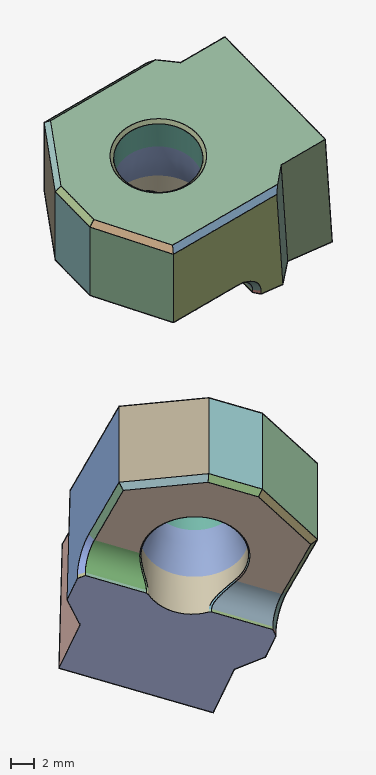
import cadquery as cq
import math

LENGTH = 22.0
WIDTH = 18.0
HEIGHT = 14.0
FRONT_Y = -9.0
BACK_Y = FRONT_Y + LENGTH

FRONT_FLAT = 4.85
FRONT_CORNER_ANGLE = math.radians(30)
NECK_WIDTH = 14.0
SHOULDER_Y = 8.35

BACK_LEAN = math.tan(math.radians(3))
FOOT_SLOPE = math.tan(math.radians(10))
FLOOR_Z = 4.0
FOOT_FRONT_Y = 3.5
FOOT_FILLET = 2.0
EDGE_CHAMFER = 0.5

BORE_RADIUS = 3.75
BORE_CHAMFER = 0.3
RELIEF_RADIUS = 4.5
FLARE_RADIUS = 15.0
FLARE_TOP_Z = 10.7
RELIEF_CHAMFER = 0.1

TOLERANCE = 0.002


def block():
    """Side profile with a leaning back and sloping foot, trimmed to the front corners."""
    foot_front_z = (BACK_Y - FOOT_FRONT_Y) * FOOT_SLOPE
    profile = (
        cq.Workplane("YZ")
        .moveTo(FRONT_Y, HEIGHT)
        .lineTo(FRONT_Y, FLOOR_Z)
        .lineTo(FOOT_FRONT_Y - FOOT_FILLET, FLOOR_Z)
        .radiusArc((FOOT_FRONT_Y, FLOOR_Z - FOOT_FILLET), FOOT_FILLET)
        .lineTo(FOOT_FRONT_Y, foot_front_z)
        .lineTo(BACK_Y, 0)
        .lineTo(BACK_Y - HEIGHT * BACK_LEAN, HEIGHT)
        .close()
        .extrude(WIDTH / 2, both=True)
    )
    side_x = WIDTH / 2
    flat_x = FRONT_FLAT / 2
    corner_y = FRONT_Y + (side_x - flat_x) * math.tan(FRONT_CORNER_ANGLE)
    plan = (
        cq.Workplane("XY")
        .polyline([
            (-flat_x, FRONT_Y),
            (flat_x, FRONT_Y),
            (side_x, corner_y),
            (side_x, BACK_Y),
            (-side_x, BACK_Y),
            (-side_x, corner_y),
        ])
        .close()
        .extrude(HEIGHT)
    )
    return profile.intersect(plan)


def chamfer_outer_edges(body):
    """Bevel the top rim except at the back, and the floor rim up both sides of the foot."""
    top_back_y = BACK_Y - HEIGHT * BACK_LEAN
    top_rim = body.faces(">Z").edges().filter(lambda e: e.Center().y < top_back_y - TOLERANCE)
    body = top_rim.chamfer(EDGE_CHAMFER)

    def on_lower_rim(edge):
        center = edge.Center()
        box = edge.BoundingBox()
        fillet_start_y = FOOT_FRONT_Y - FOOT_FILLET
        below_floor = box.zmax < FLOOR_Z + TOLERANCE
        on_floor = below_floor and box.zmin > FLOOR_Z - TOLERANCE and center.y < fillet_start_y - TOLERANCE
        on_side = abs(center.x) > WIDTH / 2 - TOLERANCE
        on_foot_side = on_side and below_floor and box.ymax < FOOT_FRONT_Y + TOLERANCE
        return on_floor or on_foot_side

    return body.edges().filter(on_lower_rim).chamfer(EDGE_CHAMFER)


def shoulder_cutter(side):
    """Leaning prism that leaves the neck and a 45 degree shoulder on one side."""
    neck_x = NECK_WIDTH / 2
    outer_x = WIDTH
    far_y = BACK_Y + LENGTH

    def section(z):
        shoulder_y = SHOULDER_Y - z * BACK_LEAN
        return cq.Wire.makePolygon([
            cq.Vector(side * neck_x, shoulder_y, z),
            cq.Vector(side * outer_x, shoulder_y - (outer_x - neck_x), z),
            cq.Vector(side * outer_x, far_y, z),
            cq.Vector(side * neck_x, far_y, z),
        ], close=True)

    return cq.Workplane(cq.Solid.makeLoft([section(0), section(HEIGHT)], True))


def hole_cutter():
    """Bore from the top that flares along a tangent arc into a wider relief below."""
    flare_angle = math.acos(1 - (RELIEF_RADIUS - BORE_RADIUS) / FLARE_RADIUS)
    flare_end_z = FLARE_TOP_Z - FLARE_RADIUS * math.sin(flare_angle)
    mid_angle = flare_angle / 2
    flare_mid = (
        BORE_RADIUS + FLARE_RADIUS * (1 - math.cos(mid_angle)),
        FLARE_TOP_Z - FLARE_RADIUS * math.sin(mid_angle),
    )
    return (
        cq.Workplane("XZ")
        .moveTo(0, 0)
        .lineTo(RELIEF_RADIUS, 0)
        .lineTo(RELIEF_RADIUS, flare_end_z)
        .threePointArc(flare_mid, (BORE_RADIUS, FLARE_TOP_Z))
        .lineTo(BORE_RADIUS, HEIGHT)
        .lineTo(0, HEIGHT)
        .close()
        .revolve(360, (0, 0), (0, 1))
    )


def chamfer_hole(body):
    """Bevel the top of the bore and the relief rim on the floor and up the foot front."""
    def on_relief_rim(edge):
        center = edge.Center()
        box = edge.BoundingBox()
        on_relief = math.hypot(center.x, center.y) < RELIEF_RADIUS + TOLERANCE
        return on_relief and box.zmax < FLOOR_Z + TOLERANCE and center.y < FOOT_FRONT_Y + TOLERANCE

    body = body.edges().filter(on_relief_rim).chamfer(RELIEF_CHAMFER)
    return body.faces(">Z").edges("%CIRCLE").chamfer(BORE_CHAMFER)


result = chamfer_outer_edges(block())
for side in (-1, 1):
    result = result.cut(shoulder_cutter(side))
result = chamfer_hole(result.cut(hole_cutter()))